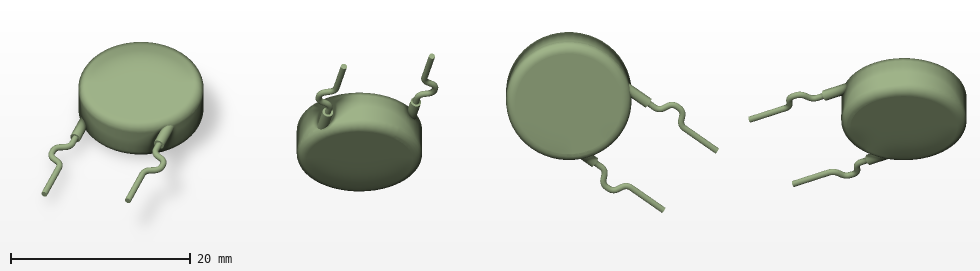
import cadquery as cq
import math


disc_diameter = 14.0
disc_height = 5.0
disc_edge_radius = 1.0

lead_spacing = 10.0
lead_z_spacing = 2.58

sleeve_diameter = 1.2
sleeve_end_y = -7.33

wire_diameter = 0.7
wire_end_y = disc_diameter / 2 - 23.88
kink_offset = 1.58
kink_bend_radius = 0.93
kink_turn = 65
kink_flat = 0.29
kink_middle_y = -10.3

sides = (-1, 1)


def lead_axis_x(side):
    return side * lead_spacing / 2


def lead_axis_z(side):
    return disc_height / 2 + side * lead_z_spacing / 2


def lead_section(side, y):
    """Workplane across one lead axis at the given Y, facing toward -Y."""
    origin = (lead_axis_x(side), y, lead_axis_z(side))
    return cq.Workplane(cq.Plane(origin=origin, xDir=(1, 0, 0), normal=(0, -1, 0)))


def make_coated_disc():
    """Disc with rounded rims and the two sleeves that are part of its coating."""
    body = cq.Workplane("XY").circle(disc_diameter / 2).extrude(disc_height)
    body = body.edges().fillet(disc_edge_radius)
    for side in sides:
        sleeve = lead_section(side, 0).circle(sleeve_diameter / 2).extrude(-sleeve_end_y)
        body = body.union(sleeve)
    return body


def kink_half_points():
    """Points (outward shift, distance toward -Y) from the kink's start to its flat."""
    turn = math.radians(kink_turn)
    bend_out = kink_bend_radius * (1 - math.cos(turn))
    bend_along = kink_bend_radius * math.sin(turn)
    mid_out = kink_bend_radius * (1 - math.cos(turn / 2))
    mid_along = kink_bend_radius * math.sin(turn / 2)
    ramp_along = (kink_offset - 2 * bend_out) / math.tan(turn)
    length = 2 * bend_along + ramp_along
    return [
        (0, 0),
        (mid_out, mid_along),
        (bend_out, bend_along),
        (kink_offset - bend_out, bend_along + ramp_along),
        (kink_offset - mid_out, length - mid_along),
        (kink_offset, length),
    ]


def make_lead(side):
    """Wire that butts on the sleeve end, kinks outward and back, then runs straight."""
    half = kink_half_points()
    half_length = half[-1][1] + kink_flat / 2
    kink_start_y = kink_middle_y + half_length

    def axis_point(out, along):
        return (lead_axis_x(side) + side * out, kink_start_y - along)

    going_out = [axis_point(out, along) for out, along in half]
    coming_back = [axis_point(out, 2 * half_length - along) for out, along in reversed(half)]

    path = cq.Workplane("XY", origin=(0, 0, lead_axis_z(side)))
    path = path.moveTo(lead_axis_x(side), sleeve_end_y)
    for start, bend_1, ramp_start, ramp_end, bend_2, finish in (going_out, coming_back):
        path = path.lineTo(*start)
        path = path.threePointArc(bend_1, ramp_start)
        path = path.lineTo(*ramp_end)
        path = path.threePointArc(bend_2, finish)
    path = path.lineTo(lead_axis_x(side), wire_end_y)

    return lead_section(side, sleeve_end_y).circle(wire_diameter / 2).sweep(path)


coated_disc = make_coated_disc()
leads = [make_lead(side) for side in sides]

result = cq.Compound.makeCompound([coated_disc.val(), *[lead.val() for lead in leads]])